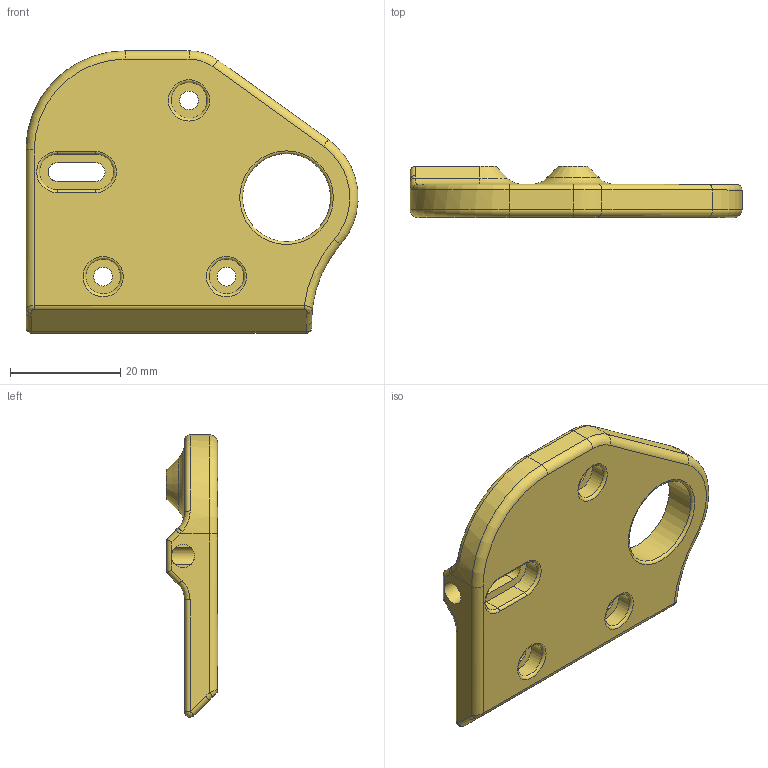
import cadquery as cq
import math

plate_thickness = 6.0
height = 51.26
front_round = 1.5
back_round = 1.0
bevel_angle = 45.0

left_corner_radius = 18.0
top_boss_at = (29.6, 42.26)
top_corner_radius = height - top_boss_at[1]
lobe_at = (47.3, 24.6)
lobe_radius = 13.0
bottom_width = 51.86
waist_radius = 21.0

screw_diameter = 3.4
head_diameter = 6.5
head_depth = 3.3
lower_head_diameter = 6.3
lower_head_depth = 3.2
lower_screw_x = (14.0, 36.4)
lower_screw_z = 10.26
bore_diameter = 16.0
rim_round = 0.5

slot_z = 29.25
slot_start_x = 5.7
slot_end_x = 12.65

boss_height = 3.3
boss_top_radius = 2.65
slot_boss_half_width = 3.0
boss_root_fillet = 4.0
flank_angle = 45.0

side_hole_diameter = 4.2
side_hole_depth = 5.0
side_hole_y = 6.3

rim_inset = 0.4
root_margin = 0.1

back_y = plate_thickness + boss_height
flank_run = boss_height * math.tan(math.radians(flank_angle))
boss_root_radius = boss_top_radius + flank_run
slot_boss_root_half_width = slot_boss_half_width + flank_run
tip_z = back_round - back_round / math.tan(math.radians(bevel_angle / 2))
bevel_top_z = tip_z + plate_thickness / math.tan(math.radians(bevel_angle))


def point_on_circle(center, radius, angle):
    return (center[0] + radius * math.cos(angle), center[1] + radius * math.sin(angle))


def outline_prism(depth, inset=0.0):
    """Plate outline, shrunk by inset and extended down to the sharp tip, from Y = 0 to Y = depth."""
    lobe_offset = (lobe_at[0] - top_boss_at[0], lobe_at[1] - top_boss_at[1])
    spacing = math.hypot(*lobe_offset)
    direction = math.atan2(lobe_offset[1], lobe_offset[0])
    slope_normal = direction + math.acos((top_corner_radius - lobe_radius) / spacing)
    waist_x = bottom_width + waist_radius
    waist_drop_angle = math.acos((waist_x - lobe_at[0]) / (lobe_radius + waist_radius))
    waist_at = point_on_circle(lobe_at, lobe_radius + waist_radius, -waist_drop_angle)
    left_corner_at = (left_corner_radius, height - left_corner_radius)
    left_mid_angle = (math.pi / 2 + math.pi) / 2
    top_mid_angle = (math.pi / 2 + slope_normal) / 2
    lobe_mid_angle = (slope_normal - waist_drop_angle) / 2
    waist_mid_angle = math.pi - waist_drop_angle / 2
    return (
        cq.Workplane("XZ")
        .moveTo(0, tip_z)
        .lineTo(0, left_corner_at[1])
        .threePointArc(
            point_on_circle(left_corner_at, left_corner_radius, left_mid_angle),
            (left_corner_at[0], height),
        )
        .lineTo(top_boss_at[0], height)
        .threePointArc(
            point_on_circle(top_boss_at, top_corner_radius, top_mid_angle),
            point_on_circle(top_boss_at, top_corner_radius, slope_normal),
        )
        .lineTo(*point_on_circle(lobe_at, lobe_radius, slope_normal))
        .threePointArc(
            point_on_circle(lobe_at, lobe_radius, lobe_mid_angle),
            point_on_circle(lobe_at, lobe_radius, -waist_drop_angle),
        )
        .threePointArc(
            point_on_circle(waist_at, waist_radius, waist_mid_angle),
            (bottom_width, waist_at[1]),
        )
        .lineTo(bottom_width, tip_z)
        .close()
        .offset2D(-inset)
        .extrude(-depth)
    )


def bevel_cutter():
    """Wedge that slopes the bottom edge from the front face back to the sharp tip."""
    right_end_x = lobe_at[0] + lobe_radius
    return (
        cq.Workplane("YZ")
        .polyline([(0, bevel_top_z), (plate_thickness, tip_z), (0, tip_z)])
        .close()
        .extrude(right_end_x)
    )


def cone_boss(x, z, top_radius):
    """Round boss with sloping flanks, standing on the back face of the plate."""
    return (
        cq.Workplane("XZ", origin=(x, plate_thickness, z))
        .circle(top_radius + flank_run)
        .extrude(-boss_height, taper=flank_angle)
    )


def slot_boss():
    """Ridge with sloping flanks from the left edge to the slot's end, closed by half a cone."""
    ridge = (
        cq.Workplane("YZ")
        .polyline(
            [
                (plate_thickness, slot_z - slot_boss_root_half_width),
                (back_y, slot_z - slot_boss_half_width),
                (back_y, slot_z + slot_boss_half_width),
                (plate_thickness, slot_z + slot_boss_root_half_width),
            ]
        )
        .close()
        .extrude(slot_end_x)
    )
    end = cone_boss(slot_end_x, slot_z, slot_boss_half_width)
    return ridge.union(end).intersect(outline_prism(back_y))


def round_back_and_bevel(part):
    """Round the rim of the back face, around the slot boss too, and all edges of the bevel."""
    inside_rim = outline_prism(back_y, rim_inset).val()
    bevel_middle = (bottom_width / 2, plate_thickness / 2, (tip_z + bevel_top_z) / 2)
    rim_edges = part.edges("not |Y").filter(
        lambda edge: edge.Center().y > plate_thickness / 2
        and not inside_rim.isInside(edge.positionAt(0.5))
    )
    bevel_edges = part.faces(cq.NearestToPointSelector(bevel_middle)).edges()
    return rim_edges.add(bevel_edges).fillet(back_round)


def fillet_boss_root(part, start_x, end_x, z, half_width):
    """Blend a boss into the back face; its root lies within the given X range and Z half width."""
    low = (start_x - root_margin, plate_thickness - root_margin, z - half_width - root_margin)
    high = (end_x + root_margin, plate_thickness + root_margin, z + half_width + root_margin)
    return part.edges(cq.selectors.BoxSelector(low, high, boundingbox=True)).fillet(boss_root_fillet)


def hole_tool(x, z, diameter, depth):
    return cq.Workplane("XZ", origin=(x, 0, z)).circle(diameter / 2).extrude(-depth)


def slot_tool(width, depth):
    length = slot_end_x - slot_start_x + width
    middle_x = (slot_start_x + slot_end_x) / 2
    return cq.Workplane("XZ", origin=(middle_x, 0, slot_z)).slot2D(length, width).extrude(-depth)


def side_hole_tool():
    return (
        cq.Workplane("YZ", origin=(0, 0, slot_z))
        .center(side_hole_y, 0)
        .circle(side_hole_diameter / 2)
        .extrude(side_hole_depth)
    )


def cut_screw_holes(part):
    part = part.cut(hole_tool(*top_boss_at, screw_diameter, back_y))
    part = part.cut(hole_tool(*top_boss_at, head_diameter, head_depth))
    for x in lower_screw_x:
        part = part.cut(hole_tool(x, lower_screw_z, screw_diameter, plate_thickness))
        part = part.cut(hole_tool(x, lower_screw_z, lower_head_diameter, lower_head_depth))
    return part


def cut_slot(part):
    return part.cut(slot_tool(screw_diameter, back_y)).cut(slot_tool(head_diameter, head_depth))


def round_front_openings(part):
    """Round the rims of all openings in the front face, but not the face's own outline."""
    openings = part.faces("<Y").wires().filter(lambda wire: wire.BoundingBox().xlen < bottom_width / 2)
    return openings.edges().fillet(rim_round)


part = outline_prism(plate_thickness).faces("<Y").edges().fillet(front_round)
part = part.cut(bevel_cutter())

part = part.union(slot_boss()).union(cone_boss(*top_boss_at, boss_top_radius)).clean()
slot_boss_end_x = slot_end_x + slot_boss_root_half_width
part = fillet_boss_root(part, 0, slot_boss_end_x, slot_z, slot_boss_root_half_width)
top_boss_start_x = top_boss_at[0] - boss_root_radius
top_boss_end_x = top_boss_at[0] + boss_root_radius
part = fillet_boss_root(part, top_boss_start_x, top_boss_end_x, top_boss_at[1], boss_root_radius)
part = round_back_and_bevel(part)

part = cut_screw_holes(part)
part = cut_slot(part)
part = part.cut(side_hole_tool())
part = part.cut(hole_tool(*lobe_at, bore_diameter, plate_thickness))
result = round_front_openings(part)